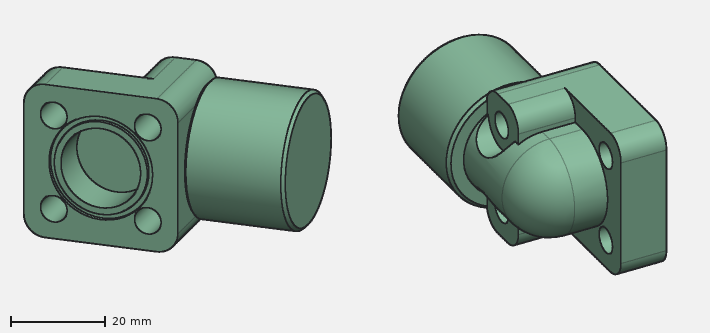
import cadquery as cq
import math

FLANGE_SIDE = 34.8
FLANGE_THICKNESS = 11.0
CORNER_RADIUS = 4.8
HALF_SIDE = FLANGE_SIDE / 2

BLOCK_LEFT_X = 3.1
BLOCK_DEPTH = 24.7

TUBE_RADIUS = 11.4
TUBE_AXIS_Y = 19.0

END_RADIUS = 15.2
END_START_X = 17.1
END_FACE_X = 40.0
END_CHAMFER = 0.75

BOLT_CIRCLE_DIAMETER = 30.0
BOLT_HOLE_DIAMETER = 6.0
BOLT_HEAD_DIAMETER = 12.1
BOLT_OFFSET = BOLT_CIRCLE_DIAMETER / 2 * math.sin(math.radians(45))

PORT_DIAMETER = 18.0
PORT_DEPTH = 10.0
GROOVE_INNER_DIAMETER = 21.0
GROOVE_OUTER_DIAMETER = 23.4
GROOVE_DEPTH = 1.0


def plane_facing_back(y):
    """Work plane at the given Y: local x is X, local y is -Z, normal is +Y."""
    return cq.Workplane("XZ", origin=(0, y, 0)).transformed(rotate=(180, 0, 0))


def rounded_plate(left_x, depth):
    """Plate from left_x to the +X flange edge, with its corners rounded about Y."""
    width = HALF_SIDE - left_x
    return (
        plane_facing_back(0)
        .center(left_x + width / 2, 0)
        .rect(width, FLANGE_SIDE)
        .extrude(depth)
        .edges("|Y")
        .fillet(CORNER_RADIUS)
    )


def make_elbow():
    """Leg along Y closed by a hemisphere, joined by a flat-sided, round-backed leg along X."""
    bend_reach = TUBE_RADIUS * math.sin(math.radians(45))
    port_leg = (
        cq.Workplane("XY")
        .lineTo(TUBE_RADIUS, 0)
        .lineTo(TUBE_RADIUS, TUBE_AXIS_Y)
        .threePointArc((bend_reach, TUBE_AXIS_Y + bend_reach), (0, TUBE_AXIS_Y + TUBE_RADIUS))
        .close()
        .revolve(360, (0, 0, 0), (0, 1, 0))
    )
    end_leg = (
        cq.Workplane("YZ")
        .moveTo(0, -TUBE_RADIUS)
        .lineTo(TUBE_AXIS_Y, -TUBE_RADIUS)
        .threePointArc((TUBE_AXIS_Y + TUBE_RADIUS, 0), (TUBE_AXIS_Y, TUBE_RADIUS))
        .lineTo(0, TUBE_RADIUS)
        .close()
        .extrude(END_START_X)
    )
    return port_leg.union(end_leg)


def make_connection_end():
    """Large cylinder along X, chamfered at both ends."""
    return (
        cq.Workplane("YZ", origin=(END_START_X, TUBE_AXIS_Y, 0))
        .circle(END_RADIUS)
        .extrude(END_FACE_X - END_START_X)
        .faces("<X or >X")
        .chamfer(END_CHAMFER)
    )


def make_bolt_cuts():
    """Four through holes, with head clearance above the block for the +X pair."""
    cut_depth = TUBE_AXIS_Y + END_RADIUS
    head_points = [(BOLT_OFFSET, -BOLT_OFFSET), (BOLT_OFFSET, BOLT_OFFSET)]
    holes = (
        plane_facing_back(0)
        .rect(2 * BOLT_OFFSET, 2 * BOLT_OFFSET, forConstruction=True)
        .vertices()
        .circle(BOLT_HOLE_DIAMETER / 2)
        .extrude(cut_depth)
    )
    heads = (
        plane_facing_back(BLOCK_DEPTH)
        .pushPoints(head_points)
        .circle(BOLT_HEAD_DIAMETER / 2)
        .extrude(cut_depth - BLOCK_DEPTH)
    )
    return holes.union(heads)


def make_port_cuts():
    """Blind port bore and the seal groove around it."""
    bore = plane_facing_back(0).circle(PORT_DIAMETER / 2).extrude(PORT_DEPTH)
    groove = (
        plane_facing_back(0)
        .circle(GROOVE_OUTER_DIAMETER / 2)
        .circle(GROOVE_INNER_DIAMETER / 2)
        .extrude(GROOVE_DEPTH)
    )
    return bore.union(groove)


flange = rounded_plate(-HALF_SIDE, FLANGE_THICKNESS)
block = rounded_plate(BLOCK_LEFT_X, BLOCK_DEPTH)
body = flange.union(block).union(make_elbow()).union(make_connection_end())
result = body.cut(make_bolt_cuts()).cut(make_port_cuts())